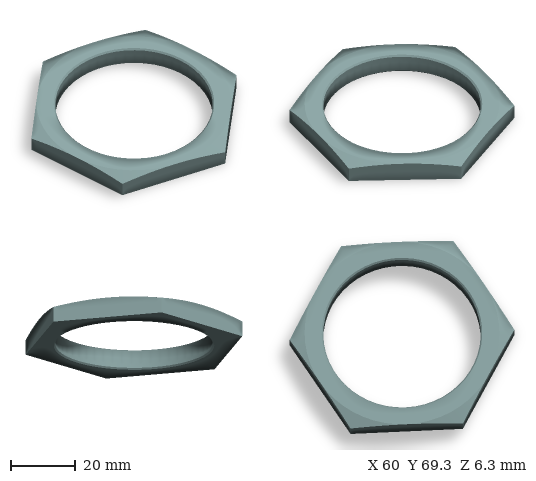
import cadquery as cq
import math

across_corners = 69.3
across_flats = across_corners * math.cos(math.radians(30))
height = 6.3
bore_diameter = 48.5
bore_chamfer = 0.5
corner_drop = 1.5


def hexagon_body():
    """Hexagonal plate with two corners on the Y axis."""
    return (
        cq.Workplane("XY")
        .polygon(6, across_corners)
        .extrude(height)
        .rotate((0, 0, 0), (0, 0, 1), 30)
    )


def bevel_envelope():
    """Turned blank whose top cone starts at the inscribed circle of the hexagon."""
    flat_radius = across_flats / 2
    corner_radius = across_corners / 2
    cone_slope = corner_drop / (corner_radius - flat_radius)
    outer_radius = corner_radius + 0.7
    outer_height = height - cone_slope * (outer_radius - flat_radius)
    profile = [
        (0, 0),
        (outer_radius, 0),
        (outer_radius, outer_height),
        (flat_radius, height),
        (0, height),
    ]
    return cq.Workplane("XZ").polyline(profile).close().revolve(360, (0, 0, 0), (0, 1, 0))


def bore_cutter():
    """Through bore with a 45 degree chamfer at both ends."""
    bore_radius = bore_diameter / 2
    mouth_radius = bore_radius + bore_chamfer
    profile = [
        (0, 0),
        (mouth_radius, 0),
        (bore_radius, bore_chamfer),
        (bore_radius, height - bore_chamfer),
        (mouth_radius, height),
        (0, height),
    ]
    return cq.Workplane("XZ").polyline(profile).close().revolve(360, (0, 0, 0), (0, 1, 0))


result = hexagon_body().intersect(bevel_envelope()).cut(bore_cutter())